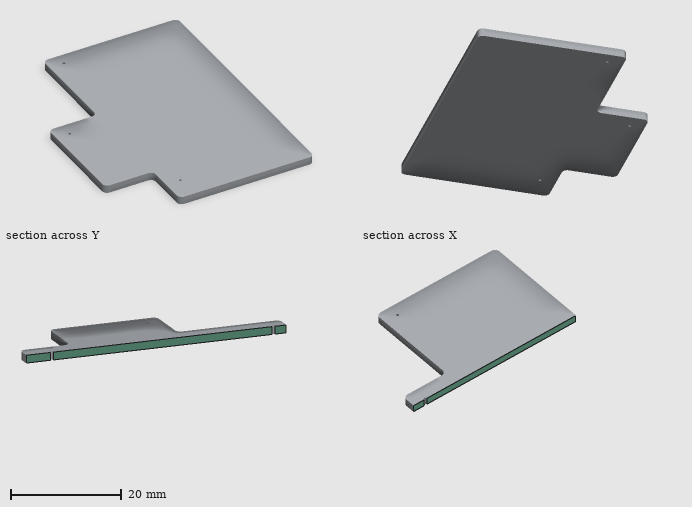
import cadquery as cq

plate_width = 50.8
plate_depth = 38.0
thickness = 1.6
corner_radius = 1.0

tab_offset = 20.0
tab_width = 21.0
tab_depth = 10.0

hole_diameter = 0.5
body_hole_height = 3.0
left_hole_inset = 2.5
right_hole_inset = 5.05
tab_hole_inset = 2.9
tab_hole_height = 2.8

tab_left = tab_offset
tab_right = tab_left + tab_width

outline = [
    (tab_left, 0),
    (tab_right, 0),
    (tab_right, tab_depth),
    (plate_width, tab_depth),
    (plate_width, plate_depth),
    (0, plate_depth),
    (0, tab_depth),
    (tab_left, tab_depth),
]

hole_centers = [
    (left_hole_inset, tab_depth + body_hole_height),
    (plate_width - right_hole_inset, tab_depth + body_hole_height),
    (tab_left + tab_hole_inset, tab_hole_height),
]

plate = cq.Workplane("XY").polyline(outline).close().extrude(thickness)
plate = plate.edges("|Z").fillet(corner_radius)

holes = (
    cq.Workplane("XY")
    .pushPoints(hole_centers)
    .circle(hole_diameter / 2)
    .extrude(thickness)
)

result = plate.cut(holes)